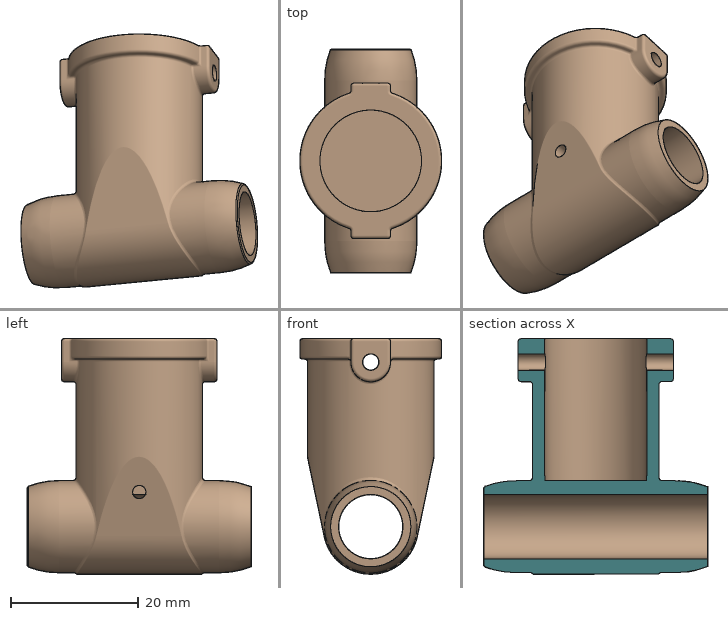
import cadquery as cq
import math

height = 37.08
body_radius = 19.9 / 2
bore_radius = 16.0 / 2

foot_radius = 7.5
taper_start_z = 18.43

pipe_axis_z = foot_radius
pipe_radius = 14.55 / 2
pipe_bore_radius = 10.05 / 2
bore_floor_z = pipe_axis_z + pipe_radius
pipe_half_length = 17.6
pipe_straight_half = 12.6
pipe_end_radius = 6.3
back_end_bevel = 0.2

collar_radius = 11.15
collar_bottom_z = 33.8
lug_half_span = 12.25
lug_radius = 3.1
pin_z = 33.37
pin_hole_diameter = 2.52

drain_diameter = 2.08
drain_z = 12.95

edge_round = 0.5
lug_corner_round = 0.4
collar_root_round = 0.4
pipe_root_round = 0.5
foot_edge_round = 0.2


def near(value, target):
    return abs(value - target) < 0.02


def edges_where(solid, test):
    """Edges of a solid whose bounding box passes the test."""
    return solid.newObject([e for e in solid.edges().vals() if test(e.BoundingBox())])


def is_lug_corner(box):
    """Straight inside corners where the lug sides meet the collar wall and underside."""
    on_lug_side = near(box.xmin, box.xmax) and near(abs(box.xmin), lug_radius)
    wall_y = math.sqrt(collar_radius**2 - lug_radius**2)
    within_collar = max(abs(box.ymin), abs(box.ymax)) < wall_y + 0.05
    return on_lug_side and within_collar and box.zmax > collar_bottom_z - 0.05 and box.zmin > pin_z + 0.05


def is_outer_rim(box):
    """Edges around the top, the collar underside and the lug faces."""
    lug_face = near(abs(box.ymin), lug_half_span) and near(box.ymin, box.ymax)
    flat = near(box.zmin, box.zmax)
    outer_x = max(abs(box.xmin), abs(box.xmax))
    collar_underside = flat and near(box.zmin, collar_bottom_z) and near(outer_x, collar_radius)
    return lug_face or collar_underside or (flat and near(box.zmin, height))


def is_foot_edge(box):
    """Curved edges where the flats and the foot cut the round body."""
    return box.zmax < taper_start_z + 0.05 and box.zmax - box.zmin > foot_edge_round


def is_pipe_root(box):
    """Closed curves where the pipe enters the round body."""
    outermost_y = max(abs(box.ymin), abs(box.ymax))
    return near(box.zmax, pipe_axis_z + pipe_radius) and near(outermost_y, body_radius)


def is_collar_root(box):
    """Edges where the collar and its lugs meet the round body."""
    outermost_y = max(abs(box.ymin), abs(box.ymax))
    on_lug_or_collar = pin_z - lug_radius - 0.05 < box.zmin and box.zmax < collar_bottom_z + 0.05
    reaches_lug = outermost_y > math.sqrt(body_radius**2 - (lug_radius + 2 * lug_corner_round) ** 2)
    return on_lug_or_collar and reaches_lug and outermost_y < body_radius + 0.05


def cylinder_along_y(radius, half_length, z):
    """Cylinder parallel to Y, centred on Y = 0."""
    return cq.Workplane("XZ", origin=(0, 0, z)).circle(radius).extrude(half_length, both=True)


def tapered_body():
    """Round body trimmed by two flats that run tangent into the round foot."""
    rise = taper_start_z - pipe_axis_z
    reach = math.hypot(body_radius, rise)
    tangent_angle = math.atan2(rise, body_radius) - math.acos(foot_radius / reach)
    tangent_x = foot_radius * math.cos(tangent_angle)
    tangent_z = pipe_axis_z + foot_radius * math.sin(tangent_angle)
    envelope = (
        cq.Workplane("XZ")
        .moveTo(-body_radius, height)
        .lineTo(-body_radius, taper_start_z)
        .lineTo(-tangent_x, tangent_z)
        .threePointArc((0, 0), (tangent_x, tangent_z))
        .lineTo(body_radius, taper_start_z)
        .lineTo(body_radius, height)
        .close()
        .extrude(collar_radius, both=True)
    )
    body = cq.Workplane("XY").circle(body_radius).extrude(height).intersect(envelope)
    return edges_where(body, is_foot_edge).fillet(foot_edge_round)


def pipe():
    """Pipe whose ends narrow along arcs tangent to the straight middle."""
    taper_length = pipe_half_length - pipe_straight_half
    drop = pipe_radius - pipe_end_radius
    arc_radius = (taper_length**2 + drop**2) / (2 * drop)
    half_angle = math.asin(taper_length / arc_radius) / 2
    mid_radius = pipe_radius - arc_radius * (1 - math.cos(half_angle))
    mid_y = pipe_straight_half + arc_radius * math.sin(half_angle)
    profile = (
        cq.Workplane("XY", origin=(0, 0, pipe_axis_z))
        .moveTo(0, -pipe_half_length)
        .lineTo(pipe_end_radius, -pipe_half_length)
        .threePointArc((mid_radius, -mid_y), (pipe_radius, -pipe_straight_half))
        .lineTo(pipe_radius, pipe_straight_half)
        .threePointArc((mid_radius, mid_y), (pipe_end_radius, pipe_half_length))
        .lineTo(0, pipe_half_length)
        .close()
    )
    solid = profile.revolve(360, (0, 0, 0), (0, 1, 0))
    return solid.faces(">Y").edges().chamfer(back_end_bevel)


def collar():
    """Collar ring with two round-bottomed lugs, rounded on all outer edges."""
    ring = cq.Workplane("XY", origin=(0, 0, collar_bottom_z)).circle(collar_radius)
    ring = ring.extrude(height - collar_bottom_z)
    lug_bar = cylinder_along_y(lug_radius, lug_half_span, pin_z).union(
        cq.Workplane("XY", origin=(0, 0, pin_z))
        .rect(2 * lug_radius, 2 * lug_half_span)
        .extrude(height - pin_z)
    )
    solid = ring.union(lug_bar)
    solid = edges_where(solid, is_lug_corner).fillet(lug_corner_round)
    return edges_where(solid, is_outer_rim).fillet(edge_round)


def drain_hole():
    """Blind hole from the -X side to the centre, breaking into the top of the pipe bore."""
    hole = cq.Workplane("YZ", origin=(0, 0, drain_z)).circle(drain_diameter / 2)
    return hole.extrude(-body_radius)


outer = tapered_body().union(pipe())
outer = edges_where(outer, is_pipe_root).fillet(pipe_root_round)
outer = outer.union(collar())
outer = edges_where(outer, is_collar_root).fillet(collar_root_round)

socket_bore = cq.Workplane("XY", origin=(0, 0, bore_floor_z)).circle(bore_radius)
socket_bore = socket_bore.extrude(height - bore_floor_z)
pipe_bore = cylinder_along_y(pipe_bore_radius, pipe_half_length, pipe_axis_z)
pin_hole = cylinder_along_y(pin_hole_diameter / 2, lug_half_span, pin_z)

result = outer.cut(socket_bore).cut(pipe_bore).cut(pin_hole).cut(drain_hole())